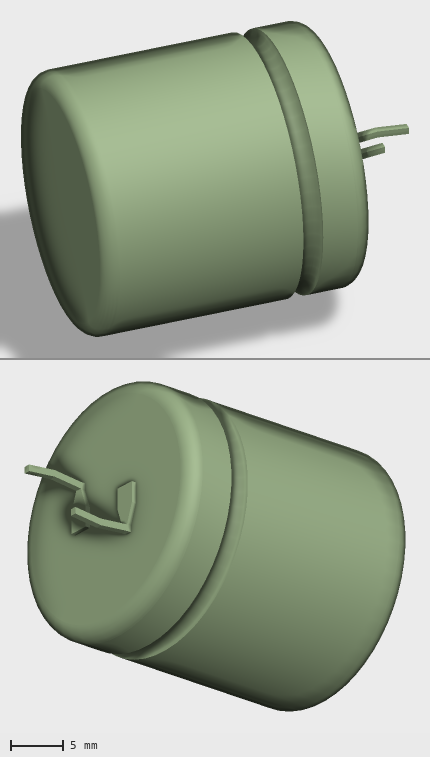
import cadquery as cq
import math

can_radius = 13.0
can_length = 27.0
rim_fillet = 1.5
groove_radius = 1.0
groove_center_depth = 6.0

pin_pitch = 10.0
pin_offset = pin_pitch / 2 * math.sin(math.radians(45))
pin_thickness = 0.7
pin_length = 6.79
pin_bow = 0.32
pad_size = 2.2
pad_height = 0.5


def make_can():
    blank = cq.Workplane("XZ").circle(can_radius).extrude(can_length)
    rounded = blank.edges().fillet(rim_fillet)
    groove = (
        cq.Workplane("XY")
        .center(can_radius, -groove_center_depth)
        .circle(groove_radius)
        .revolve(360, (-can_radius, 0, 0), (-can_radius, 1, 0))
    )
    return rounded.cut(groove)


def make_pad():
    """Square pad at x = +pin_offset, tapering in +Z to the width of the pin."""
    half_pad = pad_size / 2
    half_pin = pin_thickness / 2
    taper_end = pin_offset - half_pin
    pin_outer = pin_offset + half_pin
    outline = [
        (-half_pad, -half_pad),
        (half_pad, -half_pad),
        (half_pad, half_pad),
        (half_pin, taper_end),
        (half_pin, pin_outer),
        (-half_pin, pin_outer),
        (-half_pin, taper_end),
        (-half_pad, half_pad),
    ]
    return cq.Workplane("XZ").center(pin_offset, 0).polyline(outline).close().extrude(-pad_height)


def make_pin():
    """Bent pin standing on the pad, its bend bowed outward along +Z."""
    inner = pin_offset - pin_thickness / 2
    outer = pin_offset + pin_thickness / 2
    bend = (pad_height + pin_length) / 2
    outline = [
        (0, inner),
        (pad_height, inner),
        (bend, inner + pin_bow),
        (pin_length, inner),
        (pin_length, outer),
        (bend, outer + pin_bow),
        (pad_height, outer),
        (0, outer),
    ]
    side = cq.Workplane("YZ", origin=(pin_offset, 0, 0))
    return side.polyline(outline).close().extrude(pin_thickness / 2, both=True)


result = make_can()
terminal = make_pad().union(make_pin())
for turn in (0, 180):
    result = result.union(terminal.rotate((0, 0, 0), (0, 1, 0), turn))